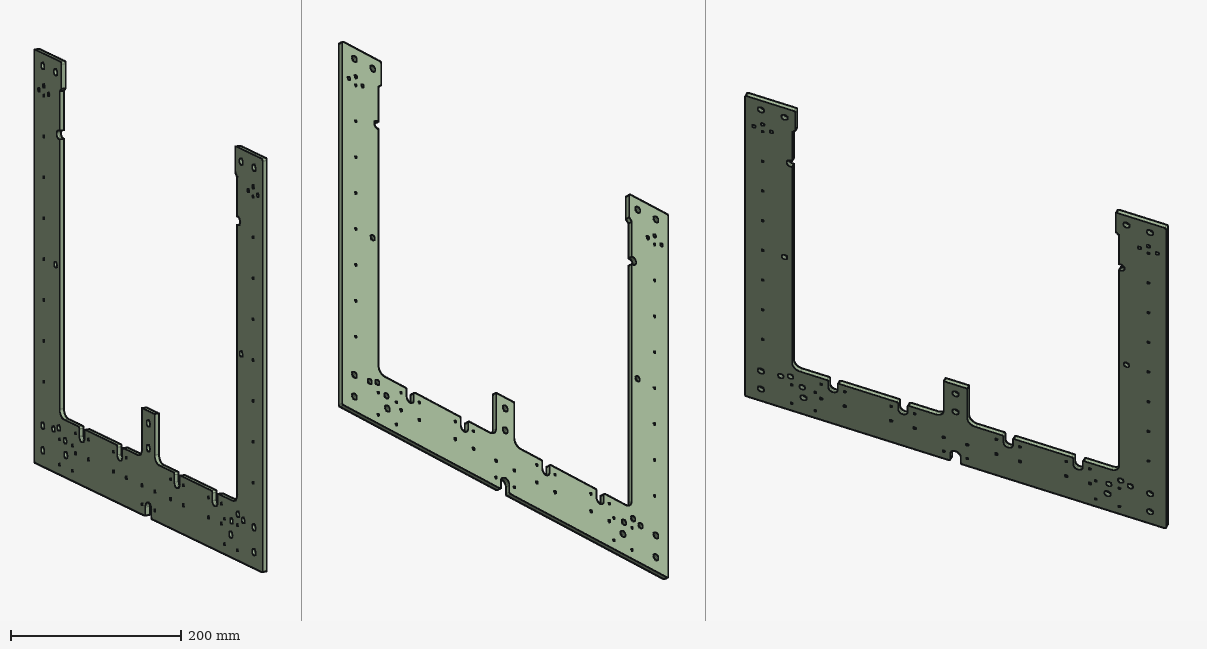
import cadquery as cq

WIDTH = 540.0
HEIGHT = 505.0
THICKNESS = 6.0
HALF_WIDTH = WIDTH / 2

LEG_WIDTH = 60.5
HEAD_WIDTH = 65.0
HEAD_HEIGHT = 32.5
HEAD_CHAMFER = HEAD_WIDTH - LEG_WIDTH
BASE_HEIGHT = 70.0
TONGUE_WIDTH = 30.0
TONGUE_TOP = 130.0
OUTER_CORNER_RADIUS = 2.0
INNER_FILLET = 10.0

SLOT_WIDTH = 12.0
SLOT_DEPTH = 17.5
SLOT_OFFSETS = (67.5, 157.0)
BOTTOM_SLOT_WIDTH = 13.5
BOTTOM_SLOT_DEPTH = 18.5
SLOT_MOUTH_RADIUS = 2.0
LEG_NOTCH_WIDTH = 10.0
LEG_NOTCH_DEPTH = 7.0
LEG_NOTCH_Z = HEIGHT - 90.0

MOUNT_HOLE = 8.0
LOCATING_HOLE = 7.0
SENSOR_HOLE = 4.5
SCREW_HOLE = 3.3
PIN_HOLE = 2.55

PAIR_SPACING = 30.0
HALF_PAIR = PAIR_SPACING / 2
MOUNT_X = HALF_WIDTH - 20.5
INNER_MOUNT_X = MOUNT_X - PAIR_SPACING
TOP_MOUNT_Z = HEIGHT - 15.5
LOW_MOUNT_Z = 20.0
TONGUE_HOLE_Z = TONGUE_TOP - 15.0

COLUMN_X = HALF_WIDTH - 22.5
COLUMN_TOP_Z = HEIGHT - 51.5
COLUMN_LENGTH = 349.5
COLUMN_COUNT = 8
COLUMN_PITCH = COLUMN_LENGTH / (COLUMN_COUNT - 1)

SENSOR_SIDE_OFFSET = 11.5
SENSOR_SIDE_Z = HEIGHT - 47.0
SENSOR_TOP_Z = HEIGHT - 39.5

LEG_HOLE_Z = HEIGHT - 250.5

UPPER_ROW_Z = 60.0
MIDDLE_ROW_Z = 35.5
LOWER_ROW_Z = 12.5

SQUARE_X = 195.0
SQUARE_HEIGHT = 31.0
SQUARE_Z = LOWER_ROW_Z + SQUARE_HEIGHT / 2
CORNER_LOCATING_HOLES = ((196.5, 45.0), (211.5, 56.5), (224.0, 52.5))


def box(x_min, x_max, z_min, z_max):
    """Block of plate thickness spanning the given X and Z limits."""
    return (
        cq.Workplane("XZ", origin=((x_min + x_max) / 2, 0, (z_min + z_max) / 2))
        .rect(x_max - x_min, z_max - z_min)
        .extrude(THICKNESS / 2, both=True)
    )


def disc(x, z, diameter):
    """Round cutter through the plate."""
    return cq.Workplane("XZ", origin=(x, 0, z)).circle(diameter / 2).extrude(THICKNESS / 2, both=True)


def mirrored(points):
    """The given (x, z) points followed by their mirror images about X = 0."""
    return list(points) + [(-x, z) for x, z in points]


def make_outline():
    """U-shaped plate with a central tongue and thickened leg heads."""
    leg_x = HALF_WIDTH - LEG_WIDTH
    head_x = HALF_WIDTH - HEAD_WIDTH
    tongue_x = TONGUE_WIDTH / 2
    head_z = HEIGHT - HEAD_HEIGHT
    right_side = [
        (tongue_x, TONGUE_TOP),
        (tongue_x, BASE_HEIGHT),
        (leg_x, BASE_HEIGHT),
        (leg_x, head_z - HEAD_CHAMFER),
        (head_x, head_z),
        (head_x, HEIGHT),
        (HALF_WIDTH, HEIGHT),
        (HALF_WIDTH, 0),
    ]
    left_side = [(-x, z) for x, z in reversed(right_side)]
    plate = cq.Workplane("XZ").polyline(right_side + left_side).close().extrude(THICKNESS / 2, both=True)
    for corner in ((tongue_x, BASE_HEIGHT), (leg_x, BASE_HEIGHT)):
        plate = fillet_corners(plate, corner, INNER_FILLET)
    for corner in ((HALF_WIDTH, 0), (HALF_WIDTH, HEIGHT), (head_x, HEIGHT)):
        plate = fillet_corners(plate, corner, OUTER_CORNER_RADIUS)
    return plate


def fillet_corners(plate, corner, radius):
    """Round the through-thickness edge at a corner and at its mirror image."""
    for x, z in mirrored([corner]):
        plate = plate.edges(cq.selectors.NearestToPointSelector((x, 0, z))).fillet(radius)
    return plate


def cut_slots(plate):
    """Round-ended slots in the base bar and notches in the legs."""
    radius = SLOT_WIDTH / 2
    for x, end_z in mirrored([(offset, BASE_HEIGHT - SLOT_DEPTH + radius) for offset in SLOT_OFFSETS]):
        plate = plate.cut(box(x - radius, x + radius, end_z, BASE_HEIGHT))
        plate = plate.cut(disc(x, end_z, SLOT_WIDTH))
    for offset in SLOT_OFFSETS:
        for mouth_x in (offset - radius, offset + radius):
            plate = fillet_corners(plate, (mouth_x, BASE_HEIGHT), SLOT_MOUTH_RADIUS)

    radius = BOTTOM_SLOT_WIDTH / 2
    end_z = BOTTOM_SLOT_DEPTH - radius
    plate = plate.cut(box(-radius, radius, 0, end_z))
    plate = plate.cut(disc(0, end_z, BOTTOM_SLOT_WIDTH))
    plate = fillet_corners(plate, (radius, 0), SLOT_MOUTH_RADIUS)

    radius = LEG_NOTCH_WIDTH / 2
    leg_x = HALF_WIDTH - LEG_WIDTH
    for side in (-1, 1):
        end_x = side * (leg_x + LEG_NOTCH_DEPTH - radius)
        x_min, x_max = sorted((end_x, side * leg_x))
        plate = plate.cut(box(x_min, x_max, LEG_NOTCH_Z - radius, LEG_NOTCH_Z + radius))
        plate = plate.cut(disc(end_x, LEG_NOTCH_Z, LEG_NOTCH_WIDTH))
    return plate


def drill(plate, points, diameter):
    """Through holes of one diameter at (x, z) points."""
    cutters = cq.Workplane("XZ").pushPoints(points).circle(diameter / 2).extrude(THICKNESS / 2, both=True)
    return plate.cut(cutters)


def drill_mounting_holes(plate):
    side_points = [
        (MOUNT_X, TOP_MOUNT_Z),
        (INNER_MOUNT_X, TOP_MOUNT_Z),
        (MOUNT_X, LOW_MOUNT_Z),
        (MOUNT_X, LOW_MOUNT_Z + PAIR_SPACING),
        (SQUARE_X, SQUARE_Z),
    ]
    tongue_points = [(0, TONGUE_HOLE_Z), (0, TONGUE_HOLE_Z - PAIR_SPACING)]
    return drill(plate, mirrored(side_points) + tongue_points, MOUNT_HOLE)


def drill_leg_holes(plate):
    column = [(COLUMN_X, COLUMN_TOP_Z - i * COLUMN_PITCH) for i in range(COLUMN_COUNT)]
    sensor_points = [
        (COLUMN_X, SENSOR_TOP_Z),
        (COLUMN_X - SENSOR_SIDE_OFFSET, SENSOR_SIDE_Z),
        (COLUMN_X + SENSOR_SIDE_OFFSET, SENSOR_SIDE_Z),
    ]
    plate = drill(plate, mirrored(column), PIN_HOLE)
    plate = drill(plate, mirrored(sensor_points), SENSOR_HOLE)
    return drill(plate, mirrored([(INNER_MOUNT_X, LEG_HOLE_Z)]), LOCATING_HOLE)


def drill_base_holes(plate):
    beside_slots = [offset + shift for offset in SLOT_OFFSETS for shift in (-HALF_PAIR, HALF_PAIR)]
    around_square = [SQUARE_X - HALF_PAIR, SQUARE_X + HALF_PAIR]
    pins = [(x, UPPER_ROW_Z) for x in beside_slots]
    pins += [(x, LOWER_ROW_Z) for x in around_square + [HALF_PAIR]]
    pins += [(x, LOWER_ROW_Z + SQUARE_HEIGHT) for x in around_square]
    screws = [(x, MIDDLE_ROW_Z) for x in beside_slots + [HALF_PAIR]]
    plate = drill(plate, mirrored(pins), PIN_HOLE)
    plate = drill(plate, mirrored(screws), SCREW_HOLE)
    return drill(plate, mirrored(CORNER_LOCATING_HOLES), LOCATING_HOLE)


result = make_outline()
result = cut_slots(result)
result = drill_mounting_holes(result)
result = drill_leg_holes(result)
result = drill_base_holes(result)